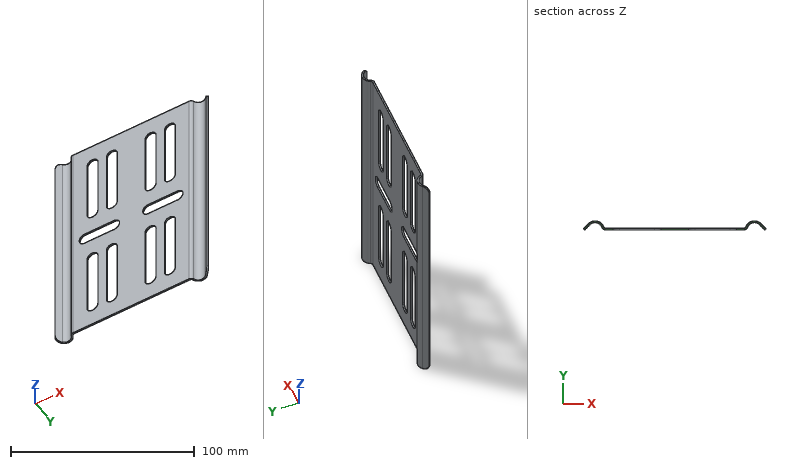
import cadquery as cq
import math

overall_width = 99.37
height = 140.0
thickness = 1.0

bead_outer_radius = 5.0
bead_inner_radius = bead_outer_radius - thickness
lip_angle = math.radians(45)
lip_corner_radius = 4.0

bend_inner_radius = 1.2
bend_outer_radius = bend_inner_radius + thickness

slot_width = 7.0
long_slot_length = 45.0
long_slot_x = (12.5, 25.0)
long_slot_z = 36.75
cross_slot_length = 26.0
cross_slot_x = 20.5

lip_normal = (math.sin(lip_angle), math.cos(lip_angle))
lip_inner_reach = bead_inner_radius / math.sin(lip_angle)
lip_outer_reach = lip_inner_reach + thickness * lip_normal[0]
bead_x = overall_width / 2 - lip_outer_reach

bend_offset = math.sqrt((bead_inner_radius + bend_outer_radius) ** 2 - bend_outer_radius ** 2)
bend_x = bead_x - bend_offset
bend_angle = math.atan2(bend_outer_radius, bend_offset)


def polar(center_x, center_y, radius, angle):
    return (center_x + radius * math.cos(angle), center_y + radius * math.sin(angle))


def bead_point(radius, angle):
    """Point on a circle about the bead centre."""
    return polar(bead_x, 0, radius, angle)


def bend_point(radius, angle):
    """Point on a circle about the bend centre."""
    return polar(bend_x, bend_outer_radius, radius, angle)


def half_sheet():
    """Right half of the bent sheet, from the mid-plane to the lip edge."""
    lip_start = math.pi / 2 - lip_angle
    bead_end = math.pi - bend_angle
    bead_middle = (lip_start + bead_end) / 2
    bend_start = -math.pi / 2
    bend_end = -bend_angle
    bend_middle = (bend_start + bend_end) / 2
    lip_inner_tip = (bead_x + lip_inner_reach, 0)
    lip_outer_tip = (bead_x + lip_outer_reach, thickness * lip_normal[1])
    return (
        cq.Workplane("XY")
        .workplane(offset=-height / 2)
        .moveTo(0, 0)
        .lineTo(bend_x, 0)
        .threePointArc(bend_point(bend_outer_radius, bend_middle), bend_point(bend_outer_radius, bend_end))
        .threePointArc(bead_point(bead_inner_radius, bead_middle), bead_point(bead_inner_radius, lip_start))
        .lineTo(*lip_inner_tip)
        .lineTo(*lip_outer_tip)
        .lineTo(*bead_point(bead_outer_radius, lip_start))
        .threePointArc(bead_point(bead_outer_radius, bead_middle), bead_point(bead_outer_radius, bead_end))
        .threePointArc(bend_point(bend_inner_radius, bend_middle), bend_point(bend_inner_radius, bend_start))
        .lineTo(0, thickness)
        .close()
        .extrude(height)
    )


def lip_corner_cutter():
    """Material outside the rounded top corner of the right lip, cut square to the lip."""
    inner_tip = cq.Vector(bead_x + lip_inner_reach, 0, height / 2)
    along_lip = cq.Vector(lip_normal[1], -lip_normal[0], 0)
    across_lip = cq.Vector(lip_normal[0], lip_normal[1], 0)
    lip_plane = cq.Plane(origin=inner_tip, xDir=along_lip, normal=across_lip)
    arc_middle = lip_corner_radius * (1 - math.sqrt(0.5))
    return (
        cq.Workplane(lip_plane)
        .lineTo(-lip_corner_radius, 0)
        .threePointArc((-arc_middle, arc_middle), (0, lip_corner_radius))
        .close()
        .extrude(2 * thickness, both=True)
    )


def slots(centers, length, angle):
    """Round-ended slot cutters through the web, angled from the X axis."""
    return (
        cq.Workplane("XZ")
        .pushPoints(centers)
        .slot2D(length, slot_width, angle)
        .extrude(-thickness)
    )


right_half = half_sheet()
top_corner = lip_corner_cutter()
right_half = right_half.cut(top_corner).cut(top_corner.mirror("XY"))
sheet = right_half.union(right_half.mirror("YZ"))

long_slot_centers = [
    (side * x, end * long_slot_z) for side in (-1, 1) for end in (-1, 1) for x in long_slot_x
]
cross_slot_centers = [(side * cross_slot_x, 0) for side in (-1, 1)]

result = (
    sheet
    .cut(slots(long_slot_centers, long_slot_length, 90))
    .cut(slots(cross_slot_centers, cross_slot_length, 0))
    .clean()
)